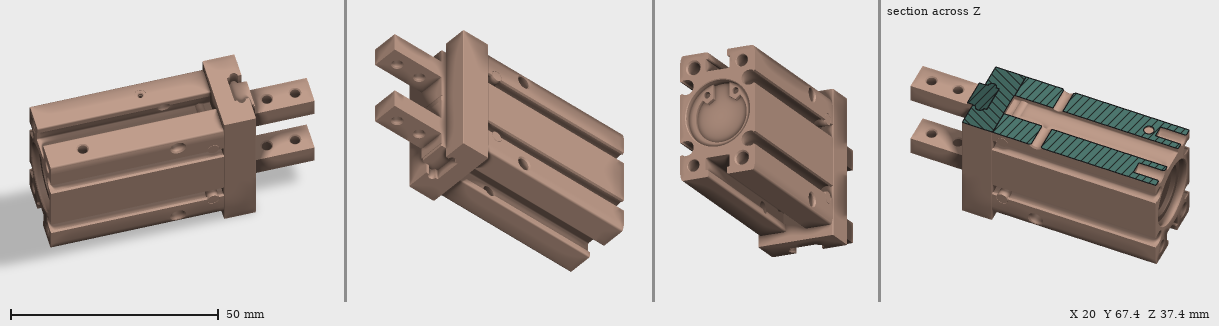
import cadquery as cq


total_length = 67.4
width = 20.0
half_width = width / 2

housing_length = 43.15
housing_height = 31.95
housing_top = housing_height / 2
shoulder_z = 13.9
shoulder_end_x = 9.7
shoulder_end_z = 15.5
top_edge_x = 9.2
top_edge_radius = 0.55

slot_floor_z = 11.05
slot_lip_z = 14.15
slot_half_width = 3.2
slot_mouth_half_width = 2.5
slot_mouth_radius = 0.4
slot_lip_bevel = 0.2
slot_floor_radius = 0.35

groove_diameter = 3.8
groove_x = 8.3
groove_z = 7.8
groove_mouth_half_height = 1.7
groove_lip_half_height = 1.5
groove_flat_length = 0.75
groove_corner_radius = 0.4

bore_diameter = 17.0
bore_chamfer = 0.2
ring_depth = 2.0
ring_thickness = 1.2
ring_inner_diameter = 13.6
ring_gap_half_width = 2.15
lug_inner_z = 4.65
lug_tip_x = 3.8
lug_tip_z = 3.6
lug_outer_x = 5.0
lug_outer_z = 4.65
lug_hole_diameter = 1.7
lug_hole_z = 5.8

screw_hole_diameter = 3.25
screw_hole_mouth = 4.0
small_hole_diameter = 3.0
small_hole_mouth = 3.3
end_hole_x = 6.5
end_hole_z = 12.5
end_hole_depth = 6.75
side_hole_y = 31.7
side_hole_z = 13.5

pin_diameter = 3.0
pin_y = 40.45
pin_z = 10.0
pin_bevel_length = 0.55
pin_bevel_depth = 0.1

port_x = 6.0
port_y = 8.95
port_diameter = 2.4
port_mouth = 3.0
port_depth = 4.05
plug_y = 26.55
plug_diameter = 3.0
plug_recess = 0.1
socket_mouth = 1.6
socket_diameter = 1.2
socket_depth = 0.7
orifice_diameter = 0.8
orifice_depth = 1.35

guide_length = 7.95
guide_height = 37.4
guide_front_y = housing_length + guide_length
guide_edge_chamfer = 0.17
track_floor_y = 47.45
track_radius = 1.0
track_y = 49.2

finger_width = 7.2
finger_half_width = finger_width / 2
finger_base_height = 15.8
finger_base_front_y = 52.6
arm_bottom_z = 6.75
arm_top_z = 11.85
arm_holes_y = (56.5, 63.5)
arm_hole_diameter = 2.4
arm_hole_mouth = 3.0
end_plate_thickness = 0.8
end_plate_ridge_radius = 0.8
end_plate_setback = 0.15
end_plate_corner_radius = 0.35


def block(x_half, y_start, y_end, z_start, z_end):
    """Box centred on x = 0."""
    return cq.Workplane("XY").box(
        2 * x_half, y_end - y_start, z_end - z_start, centered=(True, False, False)
    ).translate((0, y_start, z_start))


def drill(start, direction, diameter, depth, mouth=None):
    """Cylinder for a hole, with a 45 degree countersink when a mouth diameter is given."""
    origin = cq.Vector(*start)
    axis = cq.Vector(*direction)
    tool = cq.Workplane(cq.Solid.makeCylinder(diameter / 2, depth, origin, axis))
    if mouth:
        countersink_depth = (mouth - diameter) / 2
        tool = tool.union(cq.Workplane(
            cq.Solid.makeCone(mouth / 2, diameter / 2, countersink_depth, origin, axis)
        ))
    return tool


def housing_blank():
    """Extruded outline: flat sides, curved shoulders and rounded top and bottom edges."""
    drop_x = half_width - shoulder_end_x
    rise_z = shoulder_end_z - shoulder_z
    shoulder_radius = (drop_x**2 + rise_z**2) / (2 * drop_x)

    outline = cq.Workplane("XZ").moveTo(half_width, -shoulder_z)
    for sx, sz in ((1, 1), (-1, 1), (-1, -1), (1, -1)):
        side_point = (sx * half_width, sz * shoulder_z)
        edge_point = (sx * shoulder_end_x, sz * shoulder_end_z)
        top_point = (sx * top_edge_x, sz * housing_top)
        if sx == sz:
            outline = outline.lineTo(*side_point)
            outline = outline.radiusArc(edge_point, -shoulder_radius)
            outline = outline.radiusArc(top_point, -top_edge_radius)
        else:
            outline = outline.lineTo(*top_point)
            outline = outline.radiusArc(edge_point, -top_edge_radius)
            outline = outline.radiusArc(side_point, -shoulder_radius)
    return outline.close().extrude(-housing_length)


def t_slot():
    """Cutter for the upper T-slot, with a rounded floor and rounded outer edges."""
    floor_edge_x = slot_half_width - slot_floor_radius
    wall_start_z = slot_floor_z + slot_floor_radius
    neck = slot_mouth_half_width
    bevel_x = neck + slot_lip_bevel
    bevel_z = slot_lip_z + slot_lip_bevel
    round_start_z = housing_top - slot_mouth_radius
    round_end_x = neck + slot_mouth_radius
    return (
        cq.Workplane("XZ")
        .moveTo(-floor_edge_x, slot_floor_z)
        .lineTo(floor_edge_x, slot_floor_z)
        .radiusArc((slot_half_width, wall_start_z), -slot_floor_radius)
        .lineTo(slot_half_width, slot_lip_z)
        .lineTo(bevel_x, slot_lip_z)
        .lineTo(neck, bevel_z)
        .lineTo(neck, round_start_z)
        .radiusArc((round_end_x, housing_top), slot_mouth_radius)
        .lineTo(-round_end_x, housing_top)
        .radiusArc((-neck, round_start_z), slot_mouth_radius)
        .lineTo(-neck, bevel_z)
        .lineTo(-bevel_x, slot_lip_z)
        .lineTo(-slot_half_width, slot_lip_z)
        .lineTo(-slot_half_width, wall_start_z)
        .radiusArc((-floor_edge_x, slot_floor_z), -slot_floor_radius)
        .close()
        .extrude(-housing_length)
    )


def sensor_groove(sx, sz):
    """Cutter for one side groove: a round-bottomed channel with lips and a flared mouth."""
    radius = groove_diameter / 2
    corner_x = groove_x + groove_flat_length
    lip_x = corner_x + radius - groove_lip_half_height
    groove = (
        cq.Workplane("XZ")
        .moveTo(half_width, groove_mouth_half_height)
        .lineTo(lip_x, groove_lip_half_height)
        .radiusArc((corner_x, radius), -groove_corner_radius)
        .lineTo(groove_x, radius)
        .threePointArc((groove_x - radius, 0), (groove_x, -radius))
        .lineTo(corner_x, -radius)
        .radiusArc((lip_x, -groove_lip_half_height), -groove_corner_radius)
        .lineTo(half_width, -groove_mouth_half_height)
        .close()
        .extrude(-housing_length)
        .translate((0, 0, sz * groove_z))
    )
    return groove if sx > 0 else groove.mirror("YZ")


def bore():
    """Cutter for the bore, down to the face of the end cap."""
    return drill((0, 0, 0), (0, 1, 0), bore_diameter, ring_depth + ring_thickness,
                 bore_diameter + 2 * bore_chamfer)


def retaining_ring():
    """Open ring with two drilled lugs, seated against the end cap."""
    plane = cq.Workplane("XZ", origin=(0, ring_depth, 0))
    disc = plane.circle(bore_diameter / 2).extrude(-ring_thickness)
    ring = disc.cut(plane.circle(ring_inner_diameter / 2).extrude(-ring_thickness))
    for sx in (1, -1):
        lug = (
            plane.polyline([
                (sx * ring_gap_half_width, bore_diameter / 2),
                (sx * ring_gap_half_width, lug_inner_z),
                (sx * lug_tip_x, lug_tip_z),
                (sx * lug_outer_x, lug_outer_z),
                (sx * lug_outer_x, bore_diameter / 2),
            ])
            .close()
            .extrude(-ring_thickness)
        )
        hole = (
            plane.center(sx * lug_tip_x, lug_hole_z)
            .circle(lug_hole_diameter / 2)
            .extrude(-ring_thickness)
        )
        ring = ring.union(lug.intersect(disc)).cut(hole)
    gap = block(ring_gap_half_width, ring_depth, ring_depth + ring_thickness, 0, bore_diameter / 2)
    return ring.cut(gap)


def cross_pin(sz):
    """Pin across the housing with long shallow bevels at its ends."""
    radius = pin_diameter / 2
    end_radius = radius - pin_bevel_depth
    bevel_x = half_width - pin_bevel_length
    return (
        cq.Workplane("XY")
        .polyline([
            (-half_width, 0),
            (-half_width, end_radius),
            (-bevel_x, radius),
            (bevel_x, radius),
            (half_width, end_radius),
            (half_width, 0),
        ])
        .close()
        .revolve(360, (0, 0), (1, 0))
        .translate((0, pin_y, sz * pin_z))
    )


def make_housing():
    body = housing_blank()
    upper_slot = t_slot()
    body = body.cut(upper_slot).cut(upper_slot.mirror("XY"))
    for sx in (1, -1):
        for sz in (1, -1):
            body = body.cut(sensor_groove(sx, sz))

    body = body.cut(bore()).union(retaining_ring())
    for side in (1, -1):
        body = body.cut(drill((-side * end_hole_x, 0, side * end_hole_z), (0, 1, 0),
                              screw_hole_diameter, end_hole_depth, screw_hole_mouth))
        body = body.cut(drill((side * end_hole_x, 0, side * end_hole_z), (0, 1, 0),
                              small_hole_diameter, end_hole_depth, small_hole_mouth))

    for sz in (1, -1):
        for sx in (1, -1):
            body = body.cut(drill((sx * half_width, side_hole_y, sz * side_hole_z), (-sx, 0, 0),
                                  screw_hole_diameter, half_width, screw_hole_mouth))
        body = body.cut(drill((-half_width, pin_y, sz * pin_z), (1, 0, 0), pin_diameter, width))
        body = body.union(cross_pin(sz))

    down = (0, 0, -1)
    plug_top = housing_top - plug_recess
    socket_floor = plug_top - socket_depth
    body = body.cut(drill((port_x, port_y, housing_top), down, port_diameter, port_depth, port_mouth))
    body = body.cut(drill((-port_x, plug_y, housing_top), down, plug_diameter, plug_recess))
    body = body.cut(drill((-port_x, plug_y, plug_top), down,
                          socket_diameter, socket_depth, socket_mouth))
    return body.cut(drill((-port_x, plug_y, socket_floor), down, orifice_diameter, orifice_depth))


def track_profile(half_height, front_y, ridge_radius):
    """Cross-section of the finger track over its full height: a channel with two round ridges."""
    track = block(finger_half_width, track_floor_y, front_y, -half_height, half_height)
    for sx in (1, -1):
        track = track.union(drill((sx * finger_half_width, track_y, -half_height), (0, 0, 1),
                                  2 * ridge_radius, 2 * half_height))
    return track


def make_guide():
    half_height = guide_height / 2
    guide = block(half_width, housing_length, guide_front_y, -half_height, half_height)
    guide = guide.edges("|Z").chamfer(guide_edge_chamfer)
    return guide.cut(track_profile(half_height, finger_base_front_y, track_radius))


def make_finger(sz):
    """Finger base with an end plate at both ends, and an arm with two holes."""
    core_start = end_plate_thickness
    core_end = finger_base_height - end_plate_thickness
    plates = track_profile(finger_base_height, finger_base_front_y - end_plate_setback,
                           end_plate_ridge_radius)
    plates = plates.edges("|Z and >Y").fillet(end_plate_corner_radius)
    plates = plates.intersect(block(half_width, 0, total_length, 0, finger_base_height))
    core = track_profile(finger_base_height, finger_base_front_y, track_radius)
    core = core.intersect(block(half_width, 0, total_length, core_start, core_end))
    arm = block(finger_half_width, track_y, total_length, arm_bottom_z, arm_top_z)
    finger = plates.union(core).union(arm)
    half_thickness = (arm_top_z - arm_bottom_z) / 2
    for hole_y in arm_holes_y:
        for start_z, direction in ((arm_top_z, -1), (arm_bottom_z, 1)):
            finger = finger.cut(drill((0, hole_y, start_z), (0, 0, direction),
                                      arm_hole_diameter, half_thickness, arm_hole_mouth))
    return finger if sz > 0 else finger.mirror("XY")


housing = make_housing()
guide = make_guide()
fingers = [make_finger(sz) for sz in (1, -1)]

result = cq.Compound.makeCompound([housing.val(), guide.val(), *[finger.val() for finger in fingers]])